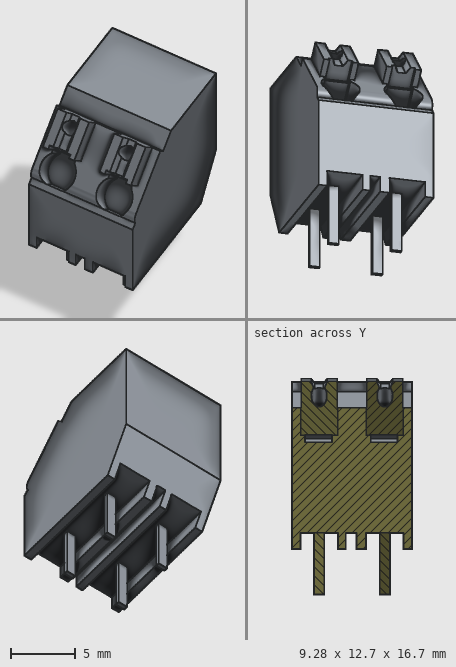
import cadquery as cq
import math


total_height = 16.66
width = 9.28
depth = 12.7
housing_height = 12.88
pole_pitch = 5.06
pole_positions = (-pole_pitch / 2, pole_pitch / 2)

front_height = 7.03
back_chamfer_depth = 2.3
back_chamfer_height = 3.98

plate_start = 0.57
plate_round_start = 1.38
plate_end = 6.56
plate_thickness = 0.62

entry_start = 0.55
entry_end = 3.37
entry_center = 1.87
entry_diameter = 3.03
throat_width = 2.05
entry_offset_x = -0.05
entry_depth = 1.9
entry_floor = plate_thickness - entry_depth

lever_width = 2.8
lever_rise = 1.45
lever_length = plate_end - entry_end
lever_top = plate_thickness + lever_rise
groove_top_width = 1.23
groove_floor_width = 0.65
groove_depth = 0.53
tool_hole_diameter = 1.17
tool_hole_center = 5.51
relief_width = 1.87
relief_depth = 0.32

foot_height = 1.23
outer_foot_width = 0.68
left_inner_foot = (-1.08, -0.47)
right_inner_foot = (0.33, 1.08)

pin_width = 0.82
pin_thickness = 0.33
pin_rows = (3.02, 8.01)
lever_peak = front_height + (plate_end + lever_top) * math.sqrt(0.5)
pin_bottom = lever_peak - total_height


def slope_workplane(height=0.0):
    """Workplane parallel to the slope: local X across, local Y up the slope."""
    plane = cq.Plane(origin=(0, 0, front_height), xDir=(1, 0, 0), normal=(0, -1, 1))
    return cq.Workplane(plane).workplane(offset=height)


def slope_box(center_x, box_width, start, end, bottom, top):
    """Rectangular block aligned with the slope."""
    return (
        slope_workplane(bottom)
        .center(center_x, (start + end) / 2)
        .rect(box_width, end - start)
        .extrude(top - bottom)
    )


def lever_blank(center_x):
    """Plain lever block, also used to cut the slot it sits in."""
    return slope_box(center_x, lever_width, entry_end, plate_end, entry_floor, lever_top)


def wire_entry(center_x):
    """Round pocket cut flat at its lower side, with a straight throat up to the lever."""
    entry_x = center_x + entry_offset_x
    bore = (
        slope_workplane(entry_floor)
        .center(entry_x, entry_center)
        .circle(entry_diameter / 2)
        .extrude(entry_depth)
    )
    bounds = slope_box(entry_x, entry_diameter, entry_start, entry_end, entry_floor, plate_thickness)
    throat = slope_box(entry_x, throat_width, entry_center, entry_end, entry_floor, plate_thickness)
    return bore.intersect(bounds).union(throat)


def foot_gap(left, right):
    """Channel between two feet, running from front to back."""
    return cq.Workplane("XY").box(right - left, depth, foot_height, centered=False).translate((left, 0, 0))


def make_housing():
    block = (
        cq.Workplane("YZ")
        .polyline(
            [
                (0, 0),
                (depth - back_chamfer_depth, 0),
                (depth, back_chamfer_height),
                (depth, housing_height),
                (housing_height - front_height, housing_height),
                (0, front_height),
            ]
        )
        .close()
        .extrude(width / 2, both=True)
    )

    plate_profile = cq.Workplane(
        cq.Plane(origin=(-width / 2, 0, front_height), xDir=(0, 1, 1), normal=(1, 0, 0))
    )
    plate = (
        plate_profile
        .moveTo(plate_end, 0)
        .lineTo(plate_end, plate_thickness)
        .lineTo(plate_round_start, plate_thickness)
        .tangentArcPoint((plate_start, 0), relative=False)
        .close()
        .extrude(width)
    )
    housing = block.union(plate)

    for x in pole_positions:
        housing = housing.cut(lever_blank(x)).cut(wire_entry(x))

    inner_wall = width / 2 - outer_foot_width
    gaps = (
        (-inner_wall, left_inner_foot[0]),
        (left_inner_foot[1], right_inner_foot[0]),
        (right_inner_foot[1], inner_wall),
    )
    for left, right in gaps:
        housing = housing.cut(foot_gap(left, right))
    return housing


def make_lever(center_x):
    lever = lever_blank(center_x)

    groove = (
        cq.Workplane(
            cq.Plane(origin=(center_x, 0, front_height), xDir=(1, 0, 0), normal=(0, 1, 1))
        )
        .workplane(offset=entry_end)
        .polyline(
            [
                (-groove_top_width / 2, -lever_top),
                (groove_top_width / 2, -lever_top),
                (groove_floor_width / 2, groove_depth - lever_top),
                (-groove_floor_width / 2, groove_depth - lever_top),
            ]
        )
        .close()
        .extrude(lever_length)
    )

    tool_hole = (
        slope_workplane(entry_floor)
        .center(center_x, tool_hole_center)
        .circle(tool_hole_diameter / 2)
        .extrude(lever_top - entry_floor)
    )

    relief = slope_box(
        center_x, relief_width, entry_end, entry_end + relief_depth, plate_thickness - relief_depth, lever_top
    )
    return lever.cut(groove).cut(tool_hole).cut(relief)


def make_pin(x, y):
    return (
        cq.Workplane("XY", origin=(x, y, pin_bottom))
        .rect(pin_width, pin_thickness)
        .extrude(foot_height - pin_bottom)
    )


housing = make_housing()
levers = [make_lever(x) for x in pole_positions]
pins = [make_pin(x, y) for x in pole_positions for y in pin_rows]

result = cq.Compound.makeCompound(
    [housing.val(), *[lever.val() for lever in levers], *[pin.val() for pin in pins]]
)